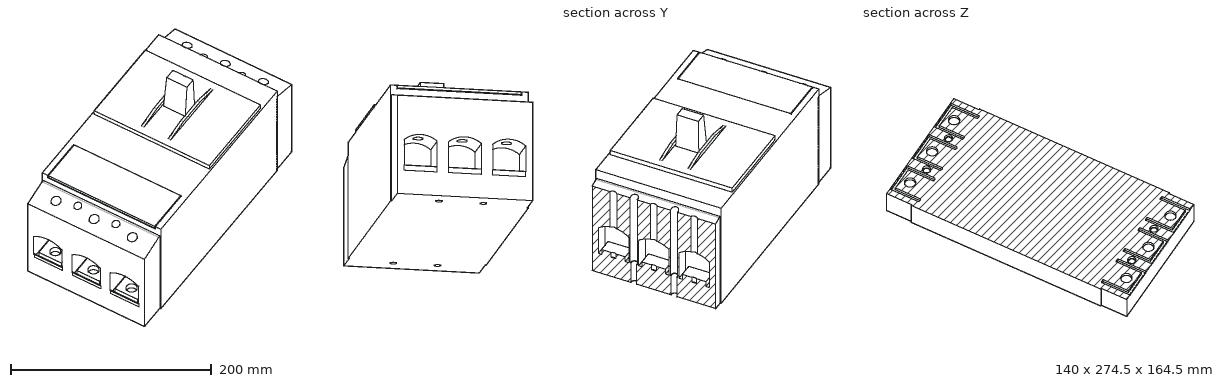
import cadquery as cq

total_height = 164.5

body_width = 140.0
body_length = 216.8
body_height = 120.2

end_width = 137.7
total_length = 274.5
end_outer_height = 101.8
end_inner_height = 109.5
end_flat_length = 2.2

pole_pitch = 45.0
pole_positions = [-pole_pitch, 0, pole_pitch]
gap_positions = [-pole_pitch / 2, pole_pitch / 2]

pocket_width = 33.5
pocket_floor = 24.7
pocket_spring = 56.3
pocket_top = 62.3
pocket_depth = 33.0
sill_thickness = 1.0
sill_top = 30.0
bar_width = 26.5
bar_top = 30.7
bar_setback = 4.0

screw_access_diameter = 10.0
screw_access_offset = 122.0
bar_hole_diameter = 11.0
bar_hole_offset = 123.5
mounting_hole_diameter = 6.5
mounting_counterbore_diameter = 8.0
mounting_hole_offset = 117.2

recess_width = 127.0
recess_depth = 3.5
recess_back = -60.0
lid_gap = 0.8

plate_width = 136.0
plate_thickness = 5.2
plate_front = -15.0
plate_back = 80.0
rib_outer = 17.3
rib_inner = 14.3
rib_height = 4.7
rib_front = -6.9
rib_back = 71.5
rib_top_front = 16.7
rib_top_back = 48.0

handle_base_width = 25.8
handle_base_front = 27.2
handle_base_back = 44.5
handle_tip_width = 24.0
handle_tip_front = 31.8
handle_tip_back = 43.4

body_end = body_length / 2
end_face = total_length / 2
plate_top = body_height + plate_thickness


def block(x_min, x_max, y_min, y_max, z_min, z_max):
    """Rectangular block between opposite corners."""
    size = (x_max - x_min, y_max - y_min, z_max - z_min)
    return cq.Workplane("XY").box(*size, centered=False).translate((x_min, y_min, z_min))


def centred_block(width, y_min, y_max, z_min, z_max):
    """Rectangular block centred on X = 0."""
    return block(-width / 2, width / 2, y_min, y_max, z_min, z_max)


def upright_cylinder(x, y, diameter, z_min, z_max):
    return cq.Workplane("XY", origin=(x, y, z_min)).circle(diameter / 2).extrude(z_max - z_min)


def end_blocks():
    """Full-length block whose two ends slope down beyond the body."""
    flat_end = body_end + end_flat_length
    return (
        cq.Workplane("YZ")
        .polyline([
            (-end_face, 0),
            (end_face, 0),
            (end_face, end_outer_height),
            (flat_end, end_inner_height),
            (-flat_end, end_inner_height),
            (-end_face, end_outer_height),
        ])
        .close()
        .extrude(end_width / 2, both=True)
    )


def terminal_pocket(x):
    """Arched cavity entering the -Y end face."""
    half = pocket_width / 2
    return (
        cq.Workplane("XZ", origin=(x, -end_face, 0))
        .moveTo(-half, pocket_floor)
        .lineTo(half, pocket_floor)
        .lineTo(half, pocket_spring)
        .threePointArc((0, pocket_top), (-half, pocket_spring))
        .close()
        .extrude(-pocket_depth)
    )


def terminal_inside(x):
    """Sill flush with the end face and contact bar standing on the floor of a pocket."""
    half = pocket_width / 2
    sill = block(x - half, x + half, -end_face, sill_thickness - end_face, pocket_floor, sill_top)
    bar = block(
        x - bar_width / 2, x + bar_width / 2,
        -end_face + bar_setback, -end_face + pocket_depth,
        pocket_floor, bar_top,
    )
    hole = upright_cylinder(x, -bar_hole_offset, bar_hole_diameter, pocket_floor, bar_top)
    return sill.union(bar.cut(hole))


def mounting_hole(x):
    """Through hole, widened from the level of the pocket floors upward."""
    through = upright_cylinder(x, -mounting_hole_offset, mounting_hole_diameter, 0, body_height)
    counterbore = upright_cylinder(
        x, -mounting_hole_offset, mounting_counterbore_diameter, pocket_floor, body_height
    )
    return through.union(counterbore)


def both_ends(shape):
    """The shape together with its mirror image at the +Y end."""
    return [shape, shape.mirror("XZ")]


def make_housing():
    housing = end_blocks().union(centred_block(body_width, -body_end, body_end, 0, body_height))
    for x in pole_positions:
        access = upright_cylinder(
            x, -screw_access_offset, screw_access_diameter, pocket_spring, body_height
        )
        for cutter in both_ends(terminal_pocket(x).union(access)):
            housing = housing.cut(cutter)
        for inside in both_ends(terminal_inside(x)):
            housing = housing.union(inside)
    for x in gap_positions:
        for cutter in both_ends(mounting_hole(x)):
            housing = housing.cut(cutter)
    recess = centred_block(
        recess_width, -body_end, recess_back, body_height - recess_depth, body_height
    )
    return housing.cut(recess)


def make_lid():
    """Flush lid with a gap beside and below it, touching the back of the recess."""
    lid_width = recess_width - 2 * lid_gap
    lid_bottom = body_height - recess_depth + lid_gap
    return centred_block(lid_width, -body_end, recess_back, lid_bottom, body_height)


def guard_rib(x_min):
    return (
        cq.Workplane("YZ", origin=(x_min, 0, 0))
        .polyline([
            (rib_front, plate_top),
            (rib_back, plate_top),
            (rib_top_back, plate_top + rib_height),
            (rib_top_front, plate_top + rib_height),
        ])
        .close()
        .extrude(rib_outer - rib_inner)
    )


def make_plate():
    plate = centred_block(plate_width, plate_front, plate_back, body_height, plate_top)
    for x_min in (-rib_outer, rib_inner):
        plate = plate.union(guard_rib(x_min))
    return plate


def make_handle():
    """Toggle tapering from the plate to its tip."""
    base_middle = (handle_base_front + handle_base_back) / 2
    tip_middle = (handle_tip_front + handle_tip_back) / 2
    return (
        cq.Workplane("XY", origin=(0, base_middle, plate_top))
        .rect(handle_base_width, handle_base_back - handle_base_front)
        .workplane(offset=total_height - plate_top)
        .center(0, tip_middle - base_middle)
        .rect(handle_tip_width, handle_tip_back - handle_tip_front)
        .loft(ruled=True)
    )


housing = make_housing()
lid = make_lid()
plate = make_plate()
handle = make_handle()

result = cq.Compound.makeCompound([housing.val(), lid.val(), plate.val(), handle.val()])